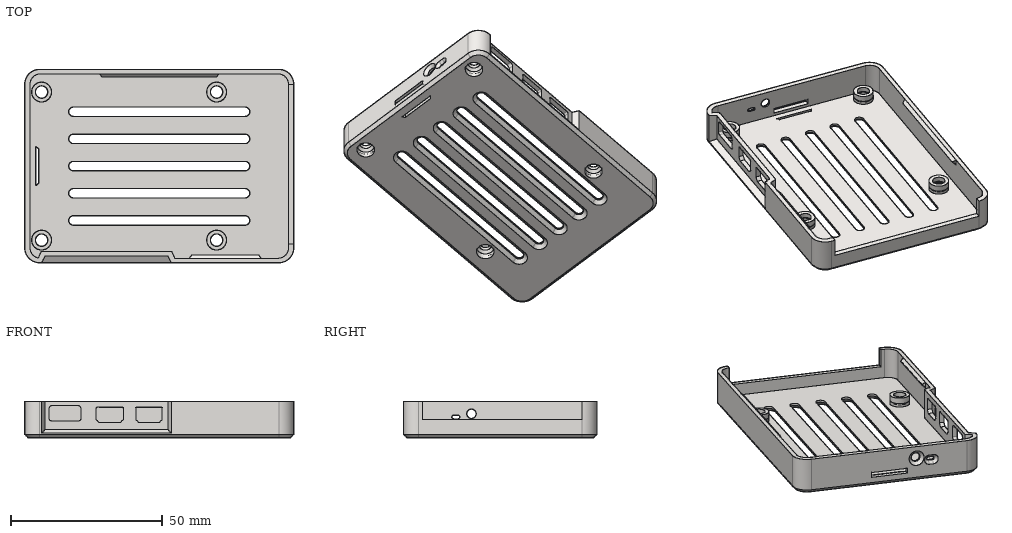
import cadquery as cq

LENGTH = 89.0
WIDTH = 64.0
HEIGHT = 12.0
CORNER_RADIUS = 5.0
END_WALL = 1.8
SIDE_WALL = 1.5
FLOOR = 2.0
BOTTOM_CHAMFER = 1.2

LEFT = -LENGTH / 2
FRONT = -WIDTH / 2
BACK = WIDTH / 2
INNER_FRONT = FRONT + SIDE_WALL
INNER_BACK = BACK - SIDE_WALL

BOARD_HOLE_PITCH_X = 57.85
BOARD_HOLE_PITCH_Y = 48.95
BOARD_CENTRE_X = -10.0
STANDOFF_BASE_DIAMETER = 6.6
STANDOFF_BASE_HEIGHT = 1.2
STANDOFF_DIAMETER = 6.5
STANDOFF_HEIGHT = 3.1
SCREW_HOLE_DIAMETER = 4.0
SCREW_HOLE_DEPTH = 1.6
SCREW_HEAD_DIAMETER = 5.8

VENT_COUNT = 5
VENT_PITCH = 9.0
VENT_LENGTH = 59.8
VENT_WIDTH = 3.0
VENT_CHAMFER = 1.25

RECESS_DEPTH = 2.2
RECESS_TAPER = 1.2
RECESS_LEFT = -38.9
RECESS_RIGHT = 4.0
RECESS_BOTTOM = 1.5
PANEL_THICKNESS = 1.6
PANEL_LEFT = -39.0
PANEL_RIGHT = 4.1
PANEL_TAPER = 1.1

POWER_PORT_X = -31.15
POWER_PORT_WIDTH = 10.5
POWER_PORT_BOTTOM = 5.6
POWER_PORT_HEIGHT = 5.1
POWER_PORT_TOP_RADIUS = 1.1
POWER_PORT_BOTTOM_RADIUS = 0.7
VIDEO_PORTS = ((-16.4, 9.0), (-3.4, 8.7))
VIDEO_PORT_BOTTOM = 5.0
VIDEO_PORT_HEIGHT = 5.2
VIDEO_PORT_CHAMFER = 1.1
VIDEO_PORT_RADIUS = 0.5

CARD_SLOT_Y = -0.13
CARD_SLOT_WIDTH = 12.5
CARD_SLOT_BOTTOM = 3.0
CARD_SLOT_HEIGHT = 1.7
JACK_Y = -9.5
JACK_Z = 7.9
JACK_DIAMETER = 3.0
LIGHT_Y = -14.7
LIGHT_Z = 6.85
LIGHT_LENGTH = 2.6
LIGHT_HEIGHT = 1.2
COUNTERSINK = 1.1

SLIT_LEFT = -40.8
SLIT_WIDTH = 0.9
SLIT_LENGTH = 12.8
SLIT_END_TAPER = 0.7

NOTCH_FLOOR = 6.0
NOTCH_FRONT = -25.7
NOTCH_BACK = BACK - CORNER_RADIUS

RIDGE_DEPTH = 1.1
RIDGE_BASE_HEIGHT = 2.0
RIDGE_TOP = HEIGHT
RIDGE_END_TAPER = 0.7
BACK_RIDGE_CENTRE = 0.0
BACK_RIDGE_LENGTH = 39.3
FRONT_RIDGE_CENTRE = 21.8
FRONT_RIDGE_LENGTH = 23.7

FLARE_ANGLE = 45
CUT_MARGIN = 0.9


def tray():
    """Open tray with rounded corners and a chamfered bottom edge."""
    shell = (
        cq.Workplane("XY").box(LENGTH, WIDTH, HEIGHT, centered=(True, True, False))
        .edges("|Z").fillet(CORNER_RADIUS)
        .faces("<Z").edges().chamfer(BOTTOM_CHAMFER)
    )
    cavity = (
        cq.Workplane("XY").workplane(offset=FLOOR)
        .rect(LENGTH - 2 * END_WALL, WIDTH - 2 * SIDE_WALL).extrude(HEIGHT)
        .edges("|Z").fillet(CORNER_RADIUS - SIDE_WALL)
    )
    return shell.cut(cavity)


def panel_bulge():
    """Inward bulge of the front wall that backs the recess."""
    inner_face = FRONT + RECESS_DEPTH + PANEL_THICKNESS
    outer_face = FRONT + SIDE_WALL / 2
    spread = PANEL_TAPER / (inner_face - INNER_FRONT) * (inner_face - outer_face)
    bulge = (
        cq.Workplane("XY").workplane(offset=FLOOR / 2)
        .moveTo(PANEL_LEFT, inner_face)
        .lineTo(PANEL_RIGHT, inner_face)
        .lineTo(PANEL_RIGHT + spread, outer_face)
        .lineTo(PANEL_LEFT - spread, outer_face)
        .close().extrude(HEIGHT - FLOOR / 2)
    )
    envelope = (
        cq.Workplane("XY").rect(LENGTH, WIDTH).extrude(HEIGHT)
        .edges("|Z").fillet(CORNER_RADIUS)
    )
    return bulge.intersect(envelope)


def recess():
    """Front pocket, open at the top, with sides and bottom sloping inward."""
    top = HEIGHT + CUT_MARGIN

    def section(inset):
        return (
            (RECESS_LEFT + inset, RECESS_BOTTOM + inset),
            (RECESS_RIGHT - inset, RECESS_BOTTOM + inset),
            (RECESS_RIGHT - inset, top),
            (RECESS_LEFT + inset, top),
        )

    return (
        cq.Workplane("XZ", origin=(0, FRONT, 0))
        .polyline(section(0)).close()
        .workplane(offset=-RECESS_DEPTH)
        .polyline(section(RECESS_TAPER)).close()
        .loft(ruled=True)
    )


def port(centre_x, width, bottom, height):
    """Block that cuts a connector opening through the front panel."""
    depth = RECESS_DEPTH + PANEL_THICKNESS + CUT_MARGIN
    return cq.Workplane("XY").box(width, depth, height, centered=(True, False, False)).translate(
        (centre_x, FRONT, bottom)
    )


def front_ports():
    power = port(POWER_PORT_X, POWER_PORT_WIDTH, POWER_PORT_BOTTOM, POWER_PORT_HEIGHT)
    ports = (
        power
        .faces(">Z").edges("|Y").fillet(POWER_PORT_TOP_RADIUS)
        .faces("<Z").edges("|Y").fillet(POWER_PORT_BOTTOM_RADIUS)
    )
    for centre_x, width in VIDEO_PORTS:
        video = (
            port(centre_x, width, VIDEO_PORT_BOTTOM, VIDEO_PORT_HEIGHT)
            .faces("<Z").edges("|Y").chamfer(VIDEO_PORT_CHAMFER)
            .faces(">Z").edges("|Y").fillet(VIDEO_PORT_RADIUS)
        )
        ports = ports.union(video)
    return ports


def standoff_centres():
    return cq.Workplane("XY").center(BOARD_CENTRE_X, 0).rect(
        BOARD_HOLE_PITCH_X, BOARD_HOLE_PITCH_Y, forConstruction=True
    ).vertices()


def standoffs():
    bases = standoff_centres().circle(STANDOFF_BASE_DIAMETER / 2).extrude(STANDOFF_BASE_HEIGHT)
    posts = standoff_centres().circle(STANDOFF_DIAMETER / 2).extrude(STANDOFF_HEIGHT)
    return bases.union(posts).translate((0, 0, FLOOR))


def screw_holes():
    """Holes through the standoffs, coned out to screw-head bores from below."""
    cone_top = FLOOR + STANDOFF_HEIGHT - SCREW_HOLE_DEPTH
    bore_radius = SCREW_HEAD_DIAMETER / 2
    hole_radius = SCREW_HOLE_DIAMETER / 2
    bore_top = cone_top - (bore_radius - hole_radius)
    profile = (
        cq.Workplane("XZ")
        .lineTo(bore_radius, 0)
        .lineTo(bore_radius, bore_top)
        .lineTo(hole_radius, cone_top)
        .lineTo(hole_radius, HEIGHT)
        .lineTo(0, HEIGHT)
        .close()
    )
    hole = profile.revolve(360, (0, 0, 0), (0, 1, 0)).val()
    return standoff_centres().eachpoint(lambda location: hole.moved(location), combine=False)


def vents():
    """Slots through the floor, widened toward the underside."""
    flare = 2 * VENT_CHAMFER
    rows = cq.Workplane("XY").rarray(0.9, VENT_PITCH, 1, VENT_COUNT)
    slots = rows.slot2D(VENT_LENGTH, VENT_WIDTH).extrude(FLOOR)
    flares = rows.slot2D(VENT_LENGTH + flare, VENT_WIDTH + flare).extrude(VENT_CHAMFER, taper=FLARE_ANGLE)
    return slots.union(flares)


def floor_slit():
    half = SLIT_LENGTH / 2
    right = SLIT_LEFT + SLIT_WIDTH
    return (
        cq.Workplane("XY")
        .moveTo(SLIT_LEFT, -half)
        .lineTo(right, -half + SLIT_END_TAPER)
        .lineTo(right, half - SLIT_END_TAPER)
        .lineTo(SLIT_LEFT, half)
        .close().extrude(FLOOR)
    )


def card_slot():
    return cq.Workplane("XY").box(
        END_WALL, CARD_SLOT_WIDTH, CARD_SLOT_HEIGHT, centered=(False, True, False)
    ).translate((LEFT, CARD_SLOT_Y, CARD_SLOT_BOTTOM))


def countersunk_opening(y, z, length, height):
    """Round-ended opening through the left wall, flared toward the outside."""
    plane = cq.Workplane("YZ", origin=(LEFT, y, z))
    flare = 2 * COUNTERSINK
    if length > height:
        through = plane.slot2D(length, height).extrude(END_WALL)
        mouth = plane.slot2D(length + flare, height + flare)
    else:
        through = plane.circle(height / 2).extrude(END_WALL)
        mouth = plane.circle((height + flare) / 2)
    return through.union(mouth.extrude(COUNTERSINK, taper=FLARE_ANGLE))


def rim_notch():
    return cq.Workplane("XY").box(
        END_WALL + CUT_MARGIN, NOTCH_BACK - NOTCH_FRONT, HEIGHT, centered=(False, False, False)
    ).translate((LENGTH / 2 - END_WALL, NOTCH_FRONT, NOTCH_FLOOR))


def snap_ridge(centre_x, length, wall_y, inward):
    """Wedge ridge on a long wall; inward is +1 or -1 along Y."""
    half = length / 2
    tip_half = half - RIDGE_END_TAPER
    low = RIDGE_TOP - RIDGE_BASE_HEIGHT
    tip_z = RIDGE_TOP - RIDGE_BASE_HEIGHT / 2
    tip_y = wall_y + inward * RIDGE_DEPTH
    bottom_left = cq.Vector(centre_x - half, wall_y, low)
    bottom_right = cq.Vector(centre_x + half, wall_y, low)
    top_left = cq.Vector(centre_x - half, wall_y, RIDGE_TOP)
    top_right = cq.Vector(centre_x + half, wall_y, RIDGE_TOP)
    tip_left = cq.Vector(centre_x - tip_half, tip_y, tip_z)
    tip_right = cq.Vector(centre_x + tip_half, tip_y, tip_z)
    outlines = (
        (bottom_left, bottom_right, top_right, top_left),
        (top_left, top_right, tip_right, tip_left),
        (bottom_left, bottom_right, tip_right, tip_left),
        (bottom_left, tip_left, top_left),
        (bottom_right, top_right, tip_right),
    )
    faces = [cq.Face.makeFromWires(cq.Wire.makePolygon(corners, close=True)) for corners in outlines]
    return cq.Workplane(cq.Solid.makeSolid(cq.Shell.makeShell(faces)))


result = (
    tray()
    .union(panel_bulge())
    .union(standoffs())
    .union(snap_ridge(BACK_RIDGE_CENTRE, BACK_RIDGE_LENGTH, INNER_BACK, -1))
    .union(snap_ridge(FRONT_RIDGE_CENTRE, FRONT_RIDGE_LENGTH, INNER_FRONT, 1))
    .cut(recess())
    .cut(front_ports())
    .cut(screw_holes())
    .cut(vents())
    .cut(floor_slit())
    .cut(card_slot())
    .cut(countersunk_opening(JACK_Y, JACK_Z, JACK_DIAMETER, JACK_DIAMETER))
    .cut(countersunk_opening(LIGHT_Y, LIGHT_Z, LIGHT_LENGTH, LIGHT_HEIGHT))
    .cut(rim_notch())
)